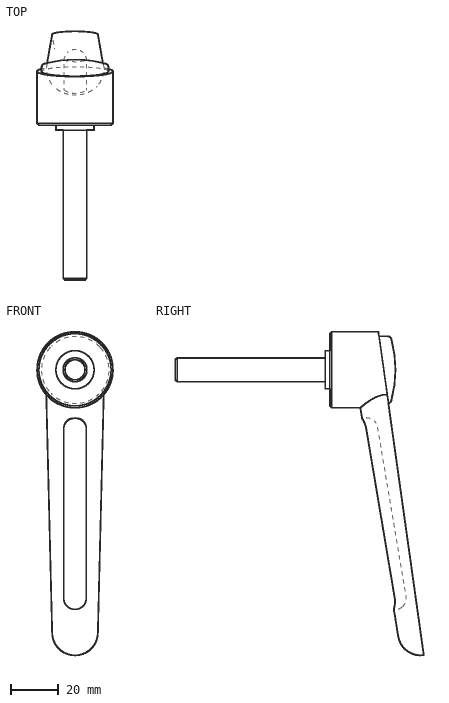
import cadquery as cq
import math


hub_diameter = 32.0
hub_radius = hub_diameter / 2
hub_top_depth = 20.4
hub_front_chamfer = 0.8

flange_radius = 8.0
flange_length = 2.0
stud_radius = 5.0
stud_tip_y = -65.0
stud_chamfer = 0.8

cap_radius = 14.1
cap_side_y = 24.2
cap_round = 1.8
cap_crown_y = 27.6

tilt_degrees = 8.0
overall_height = 136.0
handle_root_radius = 12.4
handle_tip_radius = 9.7

groove_radius = 4.8
groove_start = 23.5
groove_end = 95.6

tilt = math.radians(tilt_degrees)
root_y = hub_top_depth + hub_radius * math.tan(tilt)
lowest_z = hub_radius - overall_height
handle_length = -(lowest_z + handle_tip_radius) / math.cos(tilt)

handle_plane = cq.Plane(
    origin=(0, root_y, 0),
    xDir=(0, math.sin(tilt), -math.cos(tilt)),
    normal=(1, 0, 0),
)


def y_cylinder(radius, start_y, end_y):
    """Cylinder on the stud axis; its start face is at start_y."""
    direction = cq.Vector(0, math.copysign(1, end_y - start_y), 0)
    solid = cq.Solid.makeCylinder(radius, abs(end_y - start_y), cq.Vector(0, start_y, 0), direction)
    return cq.Workplane(solid)


def make_handle_cone():
    """Full round handle, from the stud axis to its spherical tip."""
    diagonal = handle_tip_radius * math.sqrt(0.5)
    return (
        cq.Workplane(handle_plane)
        .lineTo(0, handle_root_radius)
        .lineTo(handle_length, handle_tip_radius)
        .threePointArc((handle_length + diagonal, diagonal), (handle_length + handle_tip_radius, 0))
        .close()
        .revolve(360, (0, 0, 0), (1, 0, 0))
    )


def make_groove():
    """Round-ended cutter whose axis follows the groove's edges on the handle surface."""

    def axis_point(distance):
        taper = (handle_root_radius - handle_tip_radius) / handle_length
        handle_radius = handle_root_radius - taper * distance
        height = math.sqrt(handle_radius**2 - groove_radius**2)
        return handle_plane.toWorldCoords((distance, -height, 0))

    start = axis_point(groove_start)
    end = axis_point(groove_end)
    length = (end - start).Length
    groove_plane = cq.Plane(origin=start, xDir=end - start, normal=(1, 0, 0))
    return (
        cq.Workplane(groove_plane)
        .moveTo(-groove_radius, 0)
        .radiusArc((0, groove_radius), groove_radius)
        .lineTo(length, groove_radius)
        .radiusArc((length + groove_radius, 0), groove_radius)
        .close()
        .revolve(360, (0, 0, 0), (1, 0, 0))
    )


def make_back_cutter():
    """Block filling everything behind the tilted back plane."""
    size = 3 * overall_height
    return cq.Workplane(handle_plane).box(size, size, size, centered=(True, False, True))


def make_cap():
    """Cap with a rounded shoulder and a shallow crown, revolved about the stud axis."""
    face_radius = cap_radius - cap_round
    shoulder_y = cap_side_y + cap_round
    shoulder_offset = cap_round * math.sqrt(0.5)
    crown_rise = cap_crown_y - shoulder_y
    crown_radius = (face_radius**2 + crown_rise**2) / (2 * crown_rise)
    half_way = face_radius / 2
    half_way_y = cap_crown_y - crown_radius + math.sqrt(crown_radius**2 - half_way**2)
    cap_start_y = hub_top_depth / 2
    return (
        cq.Workplane("XY")
        .moveTo(0, cap_start_y)
        .lineTo(cap_radius, cap_start_y)
        .lineTo(cap_radius, cap_side_y)
        .threePointArc(
            (face_radius + shoulder_offset, cap_side_y + shoulder_offset),
            (face_radius, shoulder_y),
        )
        .threePointArc((half_way, half_way_y), (0, cap_crown_y))
        .close()
        .revolve(360, (0, 0, 0), (0, 1, 0))
    )


hub = y_cylinder(hub_radius, 0, cap_crown_y).faces("<Y").chamfer(hub_front_chamfer)
handle = make_handle_cone().cut(make_groove())
flange = y_cylinder(flange_radius, hub_top_depth / 2, -flange_length)
stud = y_cylinder(stud_radius, 0, stud_tip_y).faces("<Y").chamfer(stud_chamfer)

lever = hub.union(handle).cut(make_back_cutter())
result = lever.union(make_cap()).union(flange).union(stud)